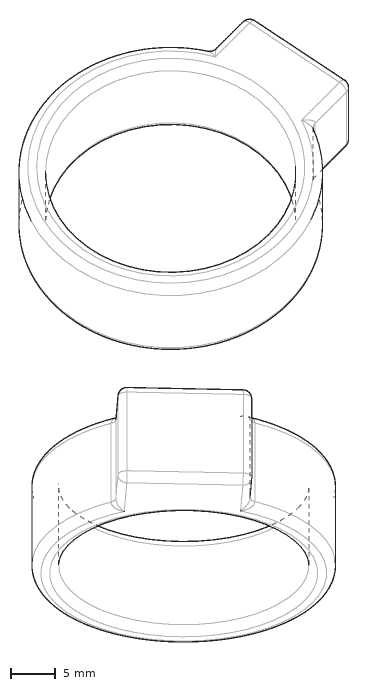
import cadquery as cq
import math

bore_diameter = 28.0
wall = 3.0
height = 12.0
outer_radius = bore_diameter / 2 + wall

block_angle = 27.0
block_width = 15.0
block_reach = 22.0
block_shift = 0.77

edge_radius = 1.0


def make_blank():
    """Bored ring and block in one piece with sharp edges; the block points along +Y."""
    ring = cq.Workplane("XY").circle(outer_radius).extrude(height)
    block = (
        cq.Workplane("XY")
        .center(block_shift, block_reach / 2)
        .rect(block_width, block_reach)
        .extrude(height)
    )
    bore = cq.Workplane("XY").circle(bore_diameter / 2).extrude(height)
    return ring.union(block).cut(bore)


def round_rims_and_corners(body):
    """Round all top and bottom edges and the two upright corners at the end of the block."""
    rims = body.faces("<Z or >Z").edges()
    block_corners = body.faces(">Y").edges("|Z")
    return rims.add(block_corners).fillet(edge_radius)


def valley_edge(side):
    """Selector for the upright edge where one side of the block meets the ring."""
    x = block_shift + side * block_width / 2
    y = math.sqrt(outer_radius**2 - x**2)
    return cq.selectors.NearestToPointSelector((x, y, height / 2))


def make_housing():
    """Ring and block with rounded edges, turned to the block's direction."""
    body = round_rims_and_corners(make_blank())
    for side in (-1, 1):
        body = body.edges(valley_edge(side)).fillet(edge_radius)
    return body.rotate((0, 0, 0), (0, 0, 1), block_angle)


housing = make_housing()

result = cq.Compound.makeCompound([housing.solids().val()])